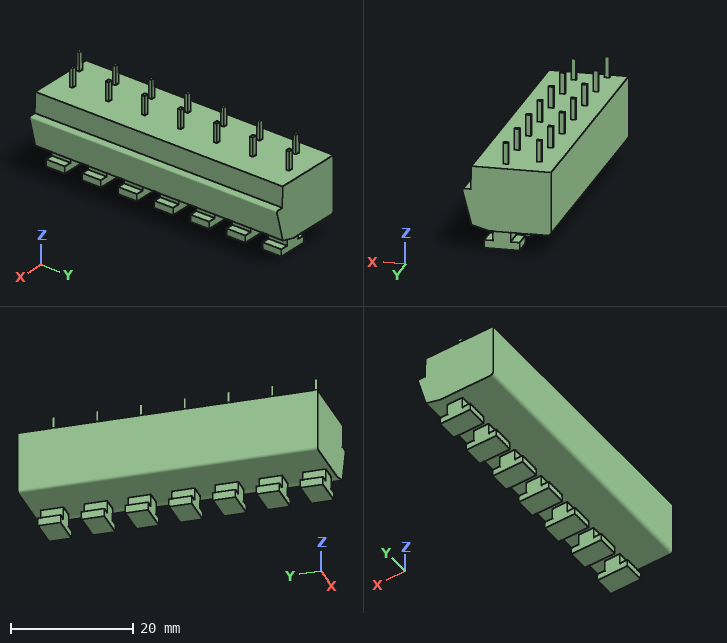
import cadquery as cq

length = 51.5
width = 15.0
height = 10.9
body_width = 13.5
wall_draft = 0.075
ledge_height = 6.95
knee_height = 0.75
knee_x = 13.45
flat_end = 10.55
nose_overshoot = 0.1
nose_radius = 0.3
bottom_radius = 0.55

pole_count = 7
pole_span = 45.0
pole_pitch = pole_span / (pole_count - 1)
row_stagger = pole_pitch / 3
row_spacing = 2 * row_stagger
first_pin_x = 3.3
first_pin_y = 1.25
pin_width = 0.8
pin_thickness = 0.6
pin_length = 3.6

actuator_length = 3.9
actuator_x = 8.75
actuator_y = 2.9
stem_width = 3.0
stem_height = 2.15
foot_width = 6.0
foot_height = 1.4


def make_housing():
    profile = (
        cq.Workplane("XZ")
        .polyline([
            (0, 0),
            (flat_end, 0),
            (knee_x, knee_height),
            (width + nose_overshoot, ledge_height),
            (body_width + wall_draft, ledge_height),
            (body_width, height),
            (0, height),
        ])
        .close()
    )
    housing = profile.extrude(-length)
    housing = housing.edges("|Y and >X").fillet(nose_radius)
    return housing.edges("|Y and <X and <Z").fillet(bottom_radius)


def make_pin(x, y):
    return (
        cq.Workplane("XY", origin=(x, y, height))
        .rect(pin_width, pin_thickness)
        .extrude(pin_length)
    )


def make_actuator(y):
    stem = (
        cq.Workplane("XY", origin=(actuator_x, y, 0))
        .rect(stem_width, actuator_length)
        .extrude(-stem_height)
    )
    foot = (
        cq.Workplane("XY", origin=(actuator_x, y, -stem_height))
        .rect(foot_width, actuator_length)
        .extrude(-foot_height)
    )
    return stem.union(foot)


result = make_housing()
for pole in range(pole_count):
    pole_y = pole * pole_pitch
    result = result.union(make_pin(first_pin_x, first_pin_y + pole_y))
    result = result.union(make_pin(first_pin_x + row_spacing, first_pin_y + row_stagger + pole_y))
    result = result.union(make_actuator(actuator_y + pole_y))